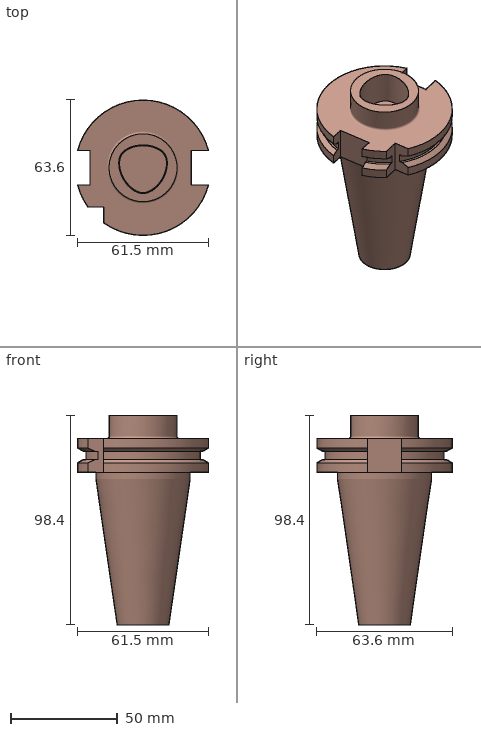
import cadquery as cq
import math

total_height = 98.4

nose_radius = 15.9
nose_height = 10.8
nose_fillet = 1.0

flange_radius = 31.8
flange_height = 15.9
rim_height = 4.5
groove_floor_radius = 28.0
groove_floor_height = 3.8
groove_wall_angle = 30.0

collar_radius = 22.1
collar_height = 3.2
taper_ratio = 7 / 24

slot_width = 16.1
left_slot_floor = 25.0
right_slot_floor = 22.7
notch_corner = 18.5

socket_mean_radius = 11.4
socket_lobe = 0.7
socket_depth = 15.7
socket_taper = 1 / 20
socket_points = 72

flange_top = total_height - nose_height
flange_bottom = flange_top - flange_height
collar_bottom = flange_bottom - collar_height
tip_radius = collar_radius - collar_bottom * taper_ratio / 2
groove_wall_height = (flange_height - 2 * rim_height - groove_floor_height) / 2
groove_lip_radius = flange_radius - groove_wall_height / math.tan(math.radians(groove_wall_angle))
lower_rim = flange_bottom + rim_height
lower_floor = lower_rim + groove_wall_height
upper_floor = lower_floor + groove_floor_height
upper_rim = flange_top - rim_height


def revolved_body():
    """Taper, collar, grooved flange and nose turned about the Z axis."""
    fillet_middle = nose_fillet * (1 - math.sqrt(0.5))
    return (
        cq.Workplane("XZ")
        .moveTo(0, 0)
        .lineTo(tip_radius, 0)
        .lineTo(collar_radius, collar_bottom)
        .lineTo(collar_radius, flange_bottom)
        .lineTo(flange_radius, flange_bottom)
        .lineTo(flange_radius, lower_rim)
        .lineTo(groove_lip_radius, lower_floor)
        .lineTo(groove_floor_radius, lower_floor)
        .lineTo(groove_floor_radius, upper_floor)
        .lineTo(groove_lip_radius, upper_floor)
        .lineTo(flange_radius, upper_rim)
        .lineTo(flange_radius, flange_top)
        .lineTo(nose_radius + nose_fillet, flange_top)
        .threePointArc(
            (nose_radius + fillet_middle, flange_top + fillet_middle),
            (nose_radius, flange_top + nose_fillet),
        )
        .lineTo(nose_radius, total_height)
        .lineTo(0, total_height)
        .close()
        .revolve(360, (0, 0, 0), (0, 1, 0))
    )


def flange_cutter(x_min, x_max, y_min, y_max):
    """Block through the full flange height, bounded in X and Y."""
    return (
        cq.Workplane("XY", origin=(0, 0, flange_bottom))
        .moveTo(x_min, y_min)
        .lineTo(x_max, y_min)
        .lineTo(x_max, y_max)
        .lineTo(x_min, y_max)
        .close()
        .extrude(flange_height)
    )


def lobed_wire(level, mean_radius):
    """Constant-width curve with three lobes, one of them pointing along -Y."""
    points = []
    for index in range(socket_points):
        angle = 2 * math.pi * index / socket_points
        support = mean_radius + socket_lobe * math.sin(3 * angle)
        slope = 3 * socket_lobe * math.cos(3 * angle)
        x = support * math.cos(angle) - slope * math.sin(angle)
        y = support * math.sin(angle) + slope * math.cos(angle)
        points.append(cq.Vector(x, y, level))
    return cq.Wire.assembleEdges([cq.Edge.makeSpline(points, periodic=True)])


def socket():
    """Blind lobed pocket narrowing downward."""
    floor_radius = socket_mean_radius - socket_depth * socket_taper / 2
    floor = lobed_wire(total_height - socket_depth, floor_radius)
    mouth = lobed_wire(total_height, socket_mean_radius)
    return cq.Workplane(obj=cq.Solid.makeLoft([floor, mouth], True))


half_slot = slot_width / 2
result = (
    revolved_body()
    .cut(flange_cutter(-flange_radius, -left_slot_floor, -half_slot, half_slot))
    .cut(flange_cutter(right_slot_floor, flange_radius, -half_slot, half_slot))
    .cut(flange_cutter(-flange_radius, -notch_corner, -flange_radius, -notch_corner))
    .cut(socket())
)